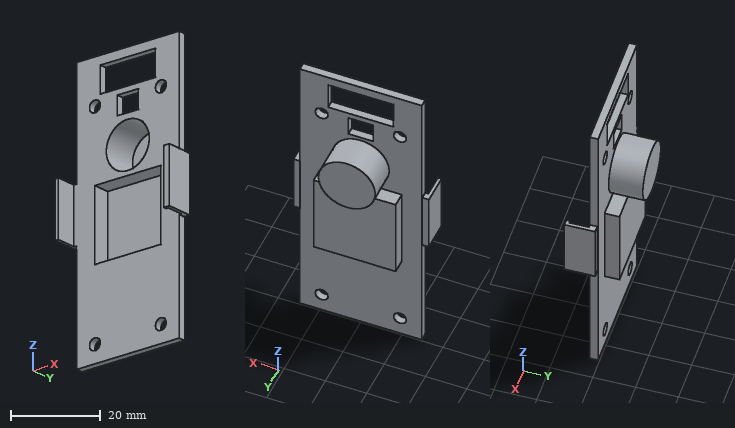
import cadquery as cq

plate_height = 73.9
plate_width = 29.6
plate_thickness = 2.0

display_width = 15.8
display_height = 6.95
display_center_z = 68.0
sensor_width = 6.0
sensor_height = 4.95
sensor_center_z = 60.5

screw_diameter = 3.0
screw_spacing_x = 19.0
screw_bottom_z = 4.7
screw_top_z = 61.9

cup_center_z = 50.25
cup_outer_diameter = 13.75
cup_inner_diameter = 12.35
cup_projection = 8.0
cup_floor = 0.75

tray_center_z = 33.4
tray_outer_width = 19.9
tray_outer_height = 21.0
tray_pocket_size = 19.0
tray_projection = 3.5
tray_floor = 0.9

clip_span = 32.9
clip_bottom_z = 29.7
clip_height = 14.9
clip_reach = 5.5
clip_thickness = 0.95
clip_back_step = 0.2
hook_thickness = 0.9


def box(width, height, center_z, y_start, y_end):
    """Block centered on X, spanning y_start to y_end."""
    return cq.Workplane("XY").box(width, y_end - y_start, height).translate(
        (0, (y_start + y_end) / 2, center_z)
    )


def cylinder(diameter, x, z, y_end):
    """Cylinder along Y from the front face to y_end."""
    return cq.Workplane("XZ").center(x, z).circle(diameter / 2).extrude(-y_end)


def clip(side, hooked):
    """Clip on the +X (side = 1) or -X (side = -1) edge, optionally with an inward hook."""
    edge_x = plate_width / 2
    outer_x = clip_span / 2
    inner_x = outer_x - clip_thickness
    back_y = plate_thickness - clip_back_step
    outline = [(edge_x, 0), (edge_x, back_y), (outer_x, back_y), (outer_x, -clip_reach)]
    if hooked:
        hook_y = hook_thickness - clip_reach
        outline += [(edge_x, -clip_reach), (edge_x, hook_y), (inner_x, hook_y)]
    else:
        outline.append((inner_x, -clip_reach))
    outline.append((inner_x, 0))
    points = [(side * x, y) for x, y in outline]
    return cq.Workplane("XY", origin=(0, 0, clip_bottom_z)).polyline(points).close().extrude(clip_height)


cup_back_y = plate_thickness + cup_projection
tray_back_y = plate_thickness + tray_projection
body = box(plate_width, plate_height, plate_height / 2, 0, plate_thickness)
body = body.union(cylinder(cup_outer_diameter, 0, cup_center_z, cup_back_y))
body = body.union(box(tray_outer_width, tray_outer_height, tray_center_z, 0, tray_back_y))
body = body.union(clip(-1, hooked=False)).union(clip(1, hooked=True))

body = body.cut(cylinder(cup_inner_diameter, 0, cup_center_z, cup_back_y - cup_floor))
body = body.cut(box(tray_pocket_size, tray_pocket_size, tray_center_z, 0, tray_back_y - tray_floor))

body = body.cut(box(display_width, display_height, display_center_z, 0, plate_thickness))
body = body.cut(box(sensor_width, sensor_height, sensor_center_z, 0, plate_thickness))
for screw_z in (screw_bottom_z, screw_top_z):
    for screw_x in (-screw_spacing_x / 2, screw_spacing_x / 2):
        body = body.cut(cylinder(screw_diameter, screw_x, screw_z, plate_thickness))

result = body